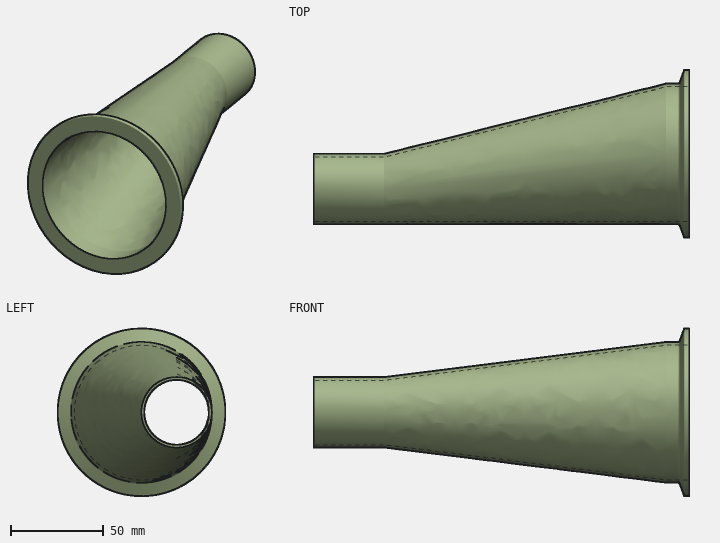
import cadquery as cq
import math

total_length = 203.2
small_diameter = 38.2
large_diameter = 76.2
wall = 1.65
small_tube_length = 38.2
large_tube_start = 190.5

flange_diameter = 90.8
flange_slope_angle = 20.0
flange_rim_width = 2.8
rim_radius = 0.5
flange_root_radius = 1.0

axis_offset = (large_diameter - small_diameter) / 2
flange_rim_start = total_length - flange_rim_width
flange_height = (flange_diameter - large_diameter) / 2
flange_root_x = flange_rim_start - flange_height * math.tan(math.radians(flange_slope_angle))


def disc_wire(x, y, diameter):
    """Circle normal to X, centred at (x, y, 0)."""
    return cq.Wire.makeCircle(diameter / 2, cq.Vector(x, y, 0), cq.Vector(1, 0, 0))


def cylinder(x_start, x_end, y, diameter):
    """Solid cylinder along X."""
    return cq.Workplane(
        cq.Solid.makeCylinder(
            diameter / 2, x_end - x_start, cq.Vector(x_start, y, 0), cq.Vector(1, 0, 0)
        )
    )


def reducer_body(inset):
    """Small tube, oblique cone and large tube as one solid, shrunk radially by inset."""
    small = small_diameter - 2 * inset
    large = large_diameter - 2 * inset
    cone = cq.Solid.makeLoft(
        [
            disc_wire(small_tube_length, -axis_offset, small),
            disc_wire(large_tube_start, 0, large),
        ],
        True,
    )
    small_tube = cylinder(0, small_tube_length, -axis_offset, small)
    large_tube = cylinder(large_tube_start, total_length, 0, large)
    return small_tube.union(cq.Workplane(cone)).union(large_tube)


def ferrule():
    """Large tube end with its sloped clamp flange, filleted at the root and rim."""
    profile = (
        cq.Workplane("XY")
        .moveTo(large_tube_start, 0)
        .lineTo(large_tube_start, large_diameter / 2)
        .lineTo(flange_root_x, large_diameter / 2)
        .lineTo(flange_rim_start, flange_diameter / 2)
        .lineTo(total_length, flange_diameter / 2)
        .lineTo(total_length, 0)
        .close()
    )
    solid = profile.revolve(360, (0, 0, 0), (1, 0, 0))
    on_rim = cq.selectors.RadiusNthSelector(-1)
    solid = solid.edges("%CIRCLE").edges(on_rim).fillet(rim_radius)
    root_margin = 0.2
    root_edge = cq.selectors.BoxSelector(
        (flange_root_x - root_margin, -flange_diameter, -flange_diameter),
        (flange_root_x + root_margin, flange_diameter, flange_diameter),
    )
    return solid.edges("%CIRCLE").edges(root_edge).fillet(flange_root_radius)


result = reducer_body(0).union(ferrule()).cut(reducer_body(wall))